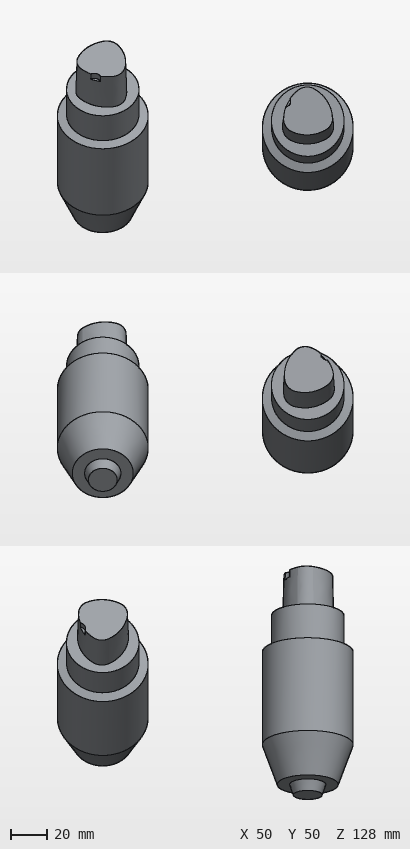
import cadquery as cq
import math

total_height = 128.0
tip_height = 6.0
cone_top = 29.0
body_top = 82.8
shoulder_top = 84.0
shank_height = 24.0
neck_top = total_height - shank_height

tip_end_radius = 8.0
tip_base_radius = 10.0
cone_end_radius = 16.8
body_radius = 50.0 / 2
neck_radius = 40.0 / 2

lobe_reach = 15.0
flank_reach = 13.0
lobe_radius = 8.3
lobe_count = 3
first_lobe_angle = 90
shank_taper = math.degrees(math.atan(1 / 40))

notch_radius = 3.7
notch_depth = 4.1
notch_back = 11.0


def polar(radius, degrees):
    angle = math.radians(degrees)
    return radius * math.cos(angle), radius * math.sin(angle)


def make_body():
    """Turned body: tapered tip, cone, cylinder, sloped shoulder and neck."""
    profile = [
        (0, 0),
        (tip_end_radius, 0),
        (tip_base_radius, tip_height),
        (cone_end_radius, tip_height),
        (body_radius, cone_top),
        (body_radius, body_top),
        (neck_radius, shoulder_top),
        (neck_radius, neck_top),
        (0, neck_top),
    ]
    return cq.Workplane("XZ").polyline(profile).close().revolve(360, (0, 0, 0), (0, 1, 0))


def lobe_joint():
    """Polar position, relative to a lobe axis, where lobe and flank arcs meet tangentially."""
    half_pitch = math.radians(180 / lobe_count)
    lobe_center = lobe_reach - lobe_radius
    gap = flank_reach - lobe_radius
    flank_offset = (lobe_center**2 - gap**2) / (2 * (gap - lobe_center * math.cos(half_pitch)))
    normal = math.atan2(
        flank_offset * math.sin(half_pitch),
        lobe_center + flank_offset * math.cos(half_pitch),
    )
    x = lobe_center + lobe_radius * math.cos(normal)
    y = lobe_radius * math.sin(normal)
    return math.hypot(x, y), math.degrees(math.atan2(y, x))


def make_shank():
    """Tapered shank whose outline alternates tight lobes and wide flanks."""
    pitch = 360 / lobe_count
    joint_reach, joint_angle = lobe_joint()
    outline = cq.Workplane("XY", origin=(0, 0, neck_top))
    outline = outline.moveTo(*polar(joint_reach, first_lobe_angle - joint_angle))
    for i in range(lobe_count):
        lobe = first_lobe_angle + i * pitch
        outline = outline.threePointArc(
            polar(lobe_reach, lobe), polar(joint_reach, lobe + joint_angle)
        )
        outline = outline.threePointArc(
            polar(flank_reach, lobe + pitch / 2), polar(joint_reach, lobe + pitch - joint_angle)
        )
    return outline.close().extrude(shank_height, taper=shank_taper)


def make_notch():
    """Upright cylinder that cuts the notch down from the top face."""
    return (
        cq.Workplane("XY", origin=(0, -notch_back - notch_radius, total_height - notch_depth))
        .circle(notch_radius)
        .extrude(notch_depth)
    )


result = make_body().union(make_shank()).cut(make_notch())